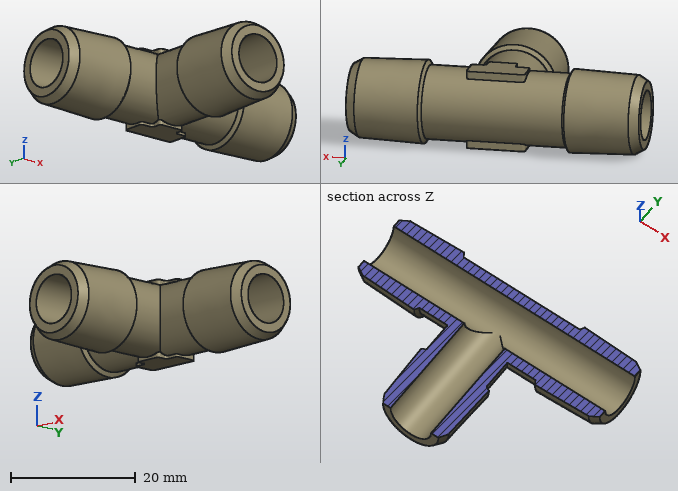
import cadquery as cq

run_length = 48.0
branch_length = 24.0
body_radius = 6.0
bore_radius = 8.0 / 2

end_length = 12.5
end_max_radius = 6.75
back_chamfer_length = 0.5
tip_chamfer_length = 1.55
tip_shoulder_radius = 6.45
tip_radius = 5.5

pad_width = 9.6
pad_back_y = 3.05
pad_front_y = -0.95
pad_stem_width = 4.8
pad_stem_front_y = -2.9
pad_height = 6.45
pad_corner_radius = 0.5


def half_outline(length):
    """Outer (axial, radial) points of one arm, from the junction to its tip."""
    end_start = length - end_length
    return [
        (end_start, body_radius),
        (end_start + back_chamfer_length, end_max_radius),
        (length - tip_chamfer_length, tip_shoulder_radius),
        (length, tip_radius),
        (length, 0),
    ]


def revolve_about_x(profile):
    """Solid of revolution about the X axis from a closed half profile."""
    return cq.Workplane("XY").polyline(profile).close().revolve(360, (0, 0, 0), (1, 0, 0))


def pads():
    """One T-shaped block whose ends form the upper and lower pads."""
    half_width = pad_width / 2
    half_stem = pad_stem_width / 2
    outline = [
        (-half_width, pad_back_y),
        (half_width, pad_back_y),
        (half_width, pad_front_y),
        (half_stem, pad_front_y),
        (half_stem, pad_stem_front_y),
        (-half_stem, pad_stem_front_y),
        (-half_stem, pad_front_y),
        (-half_width, pad_front_y),
    ]
    block = cq.Workplane("XY").polyline(outline).close().extrude(pad_height, both=True)
    return block.edges("|Z").fillet(pad_corner_radius)


right_outline = half_outline(run_length / 2)
left_outline = [(-x, radius) for x, radius in reversed(right_outline)]
run = revolve_about_x(left_outline + right_outline)

branch_profile = [(0, 0), (0, body_radius)] + half_outline(branch_length)
branch = revolve_about_x(branch_profile).rotate((0, 0, 0), (0, 0, 1), -90)
body = run.union(branch).union(pads())

run_bore = cq.Workplane("YZ").circle(bore_radius).extrude(run_length / 2, both=True)
branch_bore = cq.Workplane("XZ").circle(bore_radius).extrude(branch_length)
result = body.cut(run_bore).cut(branch_bore)